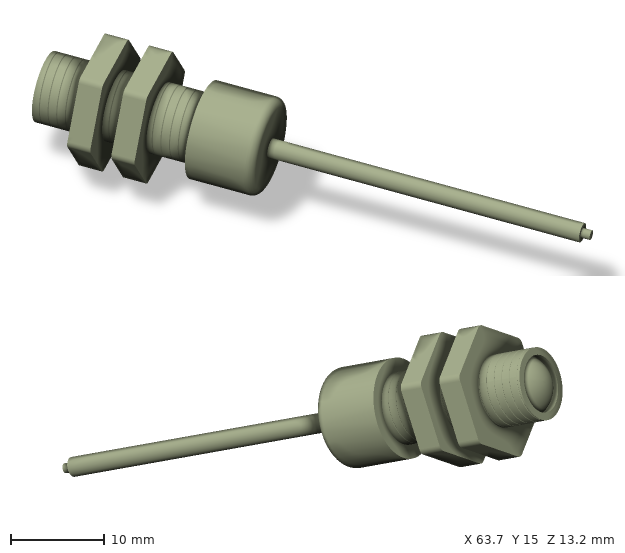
import cadquery as cq
import math

OVERALL_LENGTH = 63.7

THREAD_DIAMETER = 7.95
THREAD_PITCH = 1.0
THREAD_GROOVE_WIDTH = 0.1
THREAD_GROOVE_DEPTH = 0.05
THREAD_END_MARGIN = 0.1
HOUSING_FRONT = 0.75
HOUSING_INSERTION = 5.1

LENS_DIAMETER = 6.3
LENS_HEIGHT = 1.7

NUT_ACROSS_FLATS = 13.2
NUT_ACROSS_CORNERS = 15.0
NUT_THICKNESS = 2.7
NUT_STARTS = (6.2, 11.3)

CAP_START = 19.0
CAP_LENGTH = 7.8
CAP_DIAMETER = 11.0
CAP_EDGE_RADIUS = 0.9

CABLE_DIAMETER = 2.15
CONDUCTOR_DIAMETER = 1.1
CONDUCTOR_EXPOSED = 1.0

HOUSING_END = CAP_START + HOUSING_INSERTION
CAP_END = CAP_START + CAP_LENGTH
CABLE_END = OVERALL_LENGTH - CONDUCTOR_EXPOSED


def rod(diameter, start, end):
    """Cylinder on the X axis between two X positions."""
    return cq.Workplane("YZ", origin=(start, 0, 0)).circle(diameter / 2).extrude(end - start)


def make_lens():
    """Spherical cap with its apex at X = 0 and its flat back on the seat."""
    lens_radius = LENS_DIAMETER / 2
    sphere_radius = (lens_radius**2 + LENS_HEIGHT**2) / (2 * LENS_HEIGHT)
    arc_x = LENS_HEIGHT / 2
    arc_y = math.sqrt(sphere_radius**2 - (sphere_radius - arc_x) ** 2)
    profile = (
        cq.Workplane("XY")
        .threePointArc((arc_x, arc_y), (LENS_HEIGHT, lens_radius))
        .lineTo(LENS_HEIGHT, 0)
        .close()
    )
    return profile.revolve(360, (0, 0, 0), (1, 0, 0))


def make_thread_groove():
    """Shallow helical V groove along the exposed length of the housing."""
    radius = THREAD_DIAMETER / 2
    groove_start = HOUSING_FRONT + THREAD_END_MARGIN
    groove_length = CAP_START - THREAD_END_MARGIN - groove_start
    helix = cq.Wire.makeHelix(THREAD_PITCH, groove_length, radius)
    groove = (
        cq.Workplane("XZ", origin=(radius, 0, 0))
        .moveTo(-THREAD_GROOVE_DEPTH, 0)
        .lineTo(THREAD_GROOVE_DEPTH, -THREAD_GROOVE_WIDTH)
        .lineTo(THREAD_GROOVE_DEPTH, THREAD_GROOVE_WIDTH)
        .close()
        .sweep(cq.Workplane(helix), isFrenet=True)
    )
    return groove.rotate((0, 0, 0), (0, 1, 0), 90).translate((groove_start, 0, 0))


def make_housing():
    """Threaded barrel with a lens seat in its front face."""
    barrel = rod(THREAD_DIAMETER, HOUSING_FRONT, HOUSING_END)
    lens_seat = rod(LENS_DIAMETER, HOUSING_FRONT, LENS_HEIGHT)
    return barrel.cut(lens_seat).cut(make_thread_groove())


def make_nut(start):
    """Hex nut with corners on +Y and -Y and rounded corner edges."""
    corner_factor = 1 / math.cos(math.radians(30))
    sharp_corners = NUT_ACROSS_FLATS * corner_factor
    corner_radius = (sharp_corners - NUT_ACROSS_CORNERS) / 2 / (corner_factor - 1)
    return (
        cq.Workplane("YZ", origin=(start, 0, 0))
        .polygon(6, sharp_corners)
        .extrude(NUT_THICKNESS)
        .edges("|X")
        .fillet(corner_radius)
        .cut(rod(THREAD_DIAMETER, start, start + NUT_THICKNESS))
    )


def make_cap():
    """Round cap that holds the housing in front and the cable behind."""
    return (
        rod(CAP_DIAMETER, CAP_START, CAP_END)
        .faces(">X")
        .edges()
        .fillet(CAP_EDGE_RADIUS)
        .cut(rod(THREAD_DIAMETER, CAP_START, HOUSING_END))
        .cut(rod(CABLE_DIAMETER, HOUSING_END, CAP_END))
    )


conductor = rod(CONDUCTOR_DIAMETER, HOUSING_END, OVERALL_LENGTH)
cable = rod(CABLE_DIAMETER, HOUSING_END, CABLE_END).cut(conductor)
lens = make_lens()
housing = make_housing()
nuts = [make_nut(start) for start in NUT_STARTS]
cap = make_cap()

result = cq.Compound.makeCompound(
    [
        lens.val(),
        housing.val(),
        *[nut.val() for nut in nuts],
        cap.val(),
        cable.val(),
        conductor.val(),
    ]
)